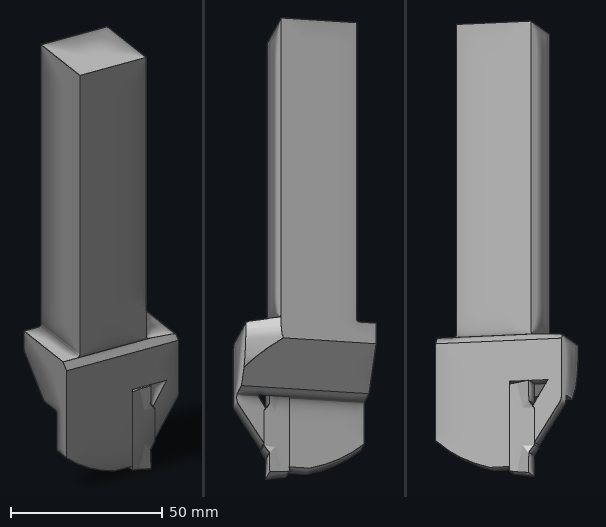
import cadquery as cq
import math

total_length = 152.4
shank_side = 25.5
shoulder_z = 47.1
shoulder_fillet = 1.0

head_front_y = -6.5
head_back_y = 36.4
head_underside_z = 26.8
bevel_size = 13.0
bevel_start_z = head_underside_z + bevel_size
side_chamfer = 2.3
inner_corner_radius = 0.8
back_ledge_depth = 1.8
back_edge_bevel = 0.9
back_slope_start_y = shank_side + back_ledge_depth
back_slope_end_y = head_back_y - back_edge_bevel
back_slope_end_z = 46.6
back_edge_z = 46.3

relief_corner_x = 5.0
relief_wall_bottom_z = 43.9
relief_radius = 27.5
relief_drop = 15.2
relief_margin = 9.1

blade_center_x = 24.7
blade_width = 6.4
blade_left_x = blade_center_x - blade_width / 2
blade_right_x = blade_center_x + blade_width / 2
blade_bottom_z = 2.5
blade_arc_start_y = 11.9
blade_arc_middle = (2.6, 6.0)
blade_arc_end_z = 12.2
jaw_corner_z = 24.2
jaw_corner_radius = 3.0
jaw_tip_z = 10.2

insert_length = 31.1
insert_bottom_y = 18.7
insert_top_y = 27.3
edge_y = shank_side
edge_width = 8.0
end_clearance = 0.9
rake_length = 6.9
ramp_end_z = 9.5
flank_length = 9.1
flank_fade_start_z = 5.0
flank_inner_width = 7.2
flank_depth_at_edge = 4.1
flank_depth_inside = 2.05

gap_tip = (26.5, 22.4)
gap_back_y = 31.9


def extrude_x(profile, x_start, x_end):
    """Extrude a closed YZ profile from x_start to x_end."""
    return profile.extrude(x_end - x_start).translate((x_start, 0, 0))


def insert_profile():
    """Closed YZ outline of the insert, with a raised middle between two rake faces."""
    return cq.Workplane("YZ").polyline([
        (insert_bottom_y, end_clearance),
        (edge_y, 0),
        (edge_y, rake_length),
        (insert_top_y, ramp_end_z),
        (insert_top_y, insert_length - ramp_end_z),
        (edge_y, insert_length - rake_length),
        (edge_y, insert_length),
        (insert_bottom_y, insert_length - end_clearance),
    ]).close()


def flank_section(width, depth, z):
    """Trapezoid in XY: full width at the cutting edge, blade width at the given depth.

    The sloping sides continue past the edge up to the raised middle of the insert.
    """
    taper = (width - blade_width) / 2 / depth
    half_top = blade_width / 2 + taper * (insert_top_y - edge_y + depth)
    half_bottom = blade_width / 2
    points = [
        (-half_bottom, edge_y - depth),
        (half_bottom, edge_y - depth),
        (half_top, insert_top_y),
        (-half_top, insert_top_y),
    ]
    return cq.Wire.makePolygon([cq.Vector(blade_center_x + x, y, z) for x, y in points], close=True)


def make_insert():
    """Blade-wide slab with flared flanks at each end that fade out toward the middle."""
    slab = extrude_x(insert_profile(), blade_left_x, blade_right_x)
    envelope = extrude_x(insert_profile(), 0, 2 * blade_center_x)
    lower_flare = cq.Workplane(obj=cq.Solid.makeLoft([
        flank_section(edge_width, flank_depth_at_edge, 0),
        flank_section(flank_inner_width, flank_depth_inside, flank_length),
    ], True))
    fade = (
        cq.Workplane("XZ", origin=(0, insert_top_y, 0))
        .polyline([
            (blade_center_x - edge_width / 2, 0),
            (blade_center_x + edge_width / 2, 0),
            (blade_center_x + edge_width / 2, flank_fade_start_z),
            (blade_right_x, flank_length),
            (blade_left_x, flank_length),
            (blade_center_x - edge_width / 2, flank_fade_start_z),
        ])
        .close()
        .extrude(insert_top_y - insert_bottom_y)
    )
    lower_flare = lower_flare.intersect(fade)
    upper_flare = lower_flare.mirror("XY", (0, 0, insert_length / 2))
    flares = lower_flare.union(upper_flare).intersect(envelope)
    return slab.union(flares)


def make_head():
    """Head and blade: a front outline in XZ trimmed by a side outline in YZ."""
    front_outline = (
        cq.Workplane("XZ", origin=(0, head_back_y, 0))
        .polyline([
            (0, shoulder_z),
            (blade_right_x - side_chamfer, shoulder_z),
            (blade_right_x, shoulder_z - side_chamfer),
            (blade_right_x, 0),
            (blade_left_x, 0),
            (blade_left_x, head_underside_z),
            (bevel_size, head_underside_z),
            (0, bevel_start_z),
        ])
        .close()
        .extrude(head_back_y - head_front_y)
    )
    inner_corner = cq.selectors.NearestToPointSelector(
        (blade_left_x, (head_front_y + head_back_y) / 2, head_underside_z))
    front_outline = front_outline.edges(inner_corner).fillet(inner_corner_radius)
    side_outline = (
        cq.Workplane("YZ")
        .moveTo(head_front_y, shoulder_z)
        .lineTo(back_slope_start_y, shoulder_z)
        .lineTo(back_slope_end_y, back_slope_end_z)
        .lineTo(head_back_y, back_edge_z)
        .lineTo(head_back_y, jaw_corner_z)
        .lineTo(insert_top_y, jaw_tip_z)
        .lineTo(insert_bottom_y, jaw_tip_z)
        .lineTo(insert_bottom_y, blade_bottom_z)
        .lineTo(blade_arc_start_y, blade_bottom_z)
        .threePointArc(blade_arc_middle, (head_front_y, blade_arc_end_z))
        .close()
        .extrude(blade_right_x)
    )
    jaw_corner = cq.selectors.NearestToPointSelector((blade_right_x / 2, head_back_y, jaw_corner_z))
    side_outline = side_outline.edges(jaw_corner).fillet(jaw_corner_radius)
    return front_outline.intersect(side_outline)


def make_corner_relief():
    """Cutter for the back corner: an upright wall running into an inward arc, seen along the wall."""
    wall_run_y = head_back_y - shank_side
    wall_angle = math.atan2(relief_corner_x, wall_run_y)
    wall_length = math.hypot(relief_corner_x, wall_run_y)
    inward = (math.cos(wall_angle), -math.sin(wall_angle), 0)
    along_wall = (-math.sin(wall_angle), -math.cos(wall_angle), 0)
    wall_plane = cq.Plane((0, shank_side, relief_wall_bottom_z), inward, along_wall)
    wall_height = shoulder_z + shoulder_fillet - relief_wall_bottom_z

    def arc_point(angle):
        return (relief_radius * (1 - math.cos(angle)), -relief_radius * math.sin(angle))

    arc_angle = math.asin(relief_drop / relief_radius)
    return (
        cq.Workplane(wall_plane)
        .moveTo(0, wall_height)
        .lineTo(0, 0)
        .threePointArc(arc_point(arc_angle / 2), arc_point(arc_angle))
        .lineTo(-relief_margin, -relief_drop)
        .lineTo(-relief_margin, wall_height)
        .close()
        .extrude(wall_length + relief_margin, both=True)
    )


def make_shank():
    """Square shank whose front and back flare out with a concave fillet at the shoulder."""
    fillet_top_z = shoulder_z + shoulder_fillet
    return (
        cq.Workplane("YZ")
        .moveTo(0, total_length)
        .lineTo(0, fillet_top_z)
        .radiusArc((-shoulder_fillet, shoulder_z), shoulder_fillet)
        .lineTo(shank_side + shoulder_fillet, shoulder_z)
        .radiusArc((shank_side, fillet_top_z), shoulder_fillet)
        .lineTo(shank_side, total_length)
        .close()
        .extrude(shank_side)
    )


def make_pocket():
    """Cutter for the insert seat and the gap behind its upper end, open on the +X side."""
    pocket_left_x = blade_center_x - edge_width / 2
    pocket_right_x = blade_center_x + edge_width / 2
    gap_profile = cq.Workplane("YZ").polyline([
        (insert_bottom_y, gap_tip[1]),
        gap_tip,
        (gap_back_y, insert_length),
        (insert_bottom_y, insert_length),
    ]).close()
    seat = extrude_x(insert_profile(), pocket_left_x, pocket_right_x)
    gap = extrude_x(gap_profile, pocket_left_x, pocket_right_x)
    return seat.union(gap)


def make_holder():
    """Shank, head and blade as one solid with the insert pocket cut out."""
    body = make_head().union(make_shank())
    return body.cut(make_corner_relief()).cut(make_pocket())


holder = make_holder()
insert = make_insert()

result = cq.Compound.makeCompound([holder.solids().val(), insert.solids().val()])